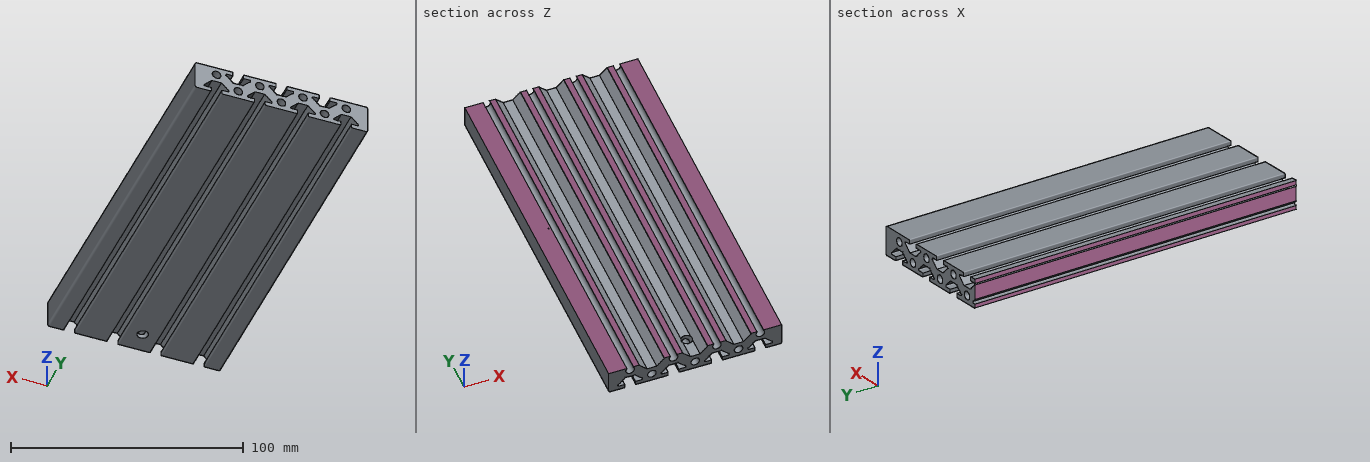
import cadquery as cq
import math

WIDTH = 80.0
LENGTH = 170.0
HEIGHT = 14.0
CORNER_RADIUS = 1.0

TOP_SLOT_COUNT = 3
BOTTOM_SLOT_COUNT = TOP_SLOT_COUNT + 1
PITCH = WIDTH / BOTTOM_SLOT_COUNT

MOUTH_WIDTH = 5.0
MOUTH_RADIUS = 0.5
LIP_THICKNESS = 2.0
CAVITY_WIDTH = 11.4
CAVITY_RADIUS = 0.5
CAVITY_SIDE_DEPTH = 2.7
SLOT_DEPTH = 6.1
FLOOR_WIDTH = 4.5

BORE_DIAMETER = 3.9
BORE_DEPTH = 3.9

MOUNT_DIAMETER = 5.0
MOUNT_END_DISTANCE = 10.0


def row_positions(count):
    """X positions of a row centred on the profile."""
    return [(i - (count - 1) / 2) * PITCH for i in range(count)]


def t_slot(x, side):
    """Full-length T-slot with sharp mouth edges; side is 1 for the top face, -1 for the bottom."""
    half_section = [
        (MOUTH_WIDTH / 2, 0),
        (MOUTH_WIDTH / 2, LIP_THICKNESS),
        (CAVITY_WIDTH / 2, LIP_THICKNESS),
        (CAVITY_WIDTH / 2, CAVITY_SIDE_DEPTH),
        (FLOOR_WIDTH / 2, SLOT_DEPTH),
    ]
    right = [(x + offset, side * (HEIGHT / 2 - depth)) for offset, depth in half_section]
    left = [(x - offset, side * (HEIGHT / 2 - depth)) for offset, depth in reversed(half_section)]
    slot = cq.Workplane("XZ").polyline(right + left).close().extrude(LENGTH / 2, both=True)
    z_lip = side * (HEIGHT / 2 - LIP_THICKNESS)
    for x_side in (x - CAVITY_WIDTH / 2, x + CAVITY_WIDTH / 2):
        slot = slot.edges(cq.NearestToPointSelector((x_side, 0, z_lip))).fillet(CAVITY_RADIUS)
    return slot


def bores(count, side):
    """Row of lengthwise bores near the top (side 1) or bottom (side -1) face."""
    z = side * (HEIGHT / 2 - BORE_DEPTH)
    centres = [(x, z) for x in row_positions(count)]
    circles = cq.Workplane("XZ").pushPoints(centres).circle(BORE_DIAMETER / 2)
    return circles.extrude(LENGTH / 2, both=True)


result = cq.Workplane("XY").box(WIDTH, LENGTH, HEIGHT).edges("|Y").fillet(CORNER_RADIUS)

slots = [(x, HEIGHT / 2) for x in row_positions(TOP_SLOT_COUNT)]
slots += [(x, -HEIGHT / 2) for x in row_positions(BOTTOM_SLOT_COUNT)]
for x, z in slots:
    result = result.cut(t_slot(x, math.copysign(1, z)))

for x, z in slots:
    for x_edge in (x - MOUTH_WIDTH / 2, x + MOUTH_WIDTH / 2):
        mouth_edge = cq.NearestToPointSelector((x_edge, 0, z))
        result = result.edges(mouth_edge).fillet(MOUTH_RADIUS)

result = result.cut(bores(BOTTOM_SLOT_COUNT, 1))
result = result.cut(bores(TOP_SLOT_COUNT, -1))

mount_hole = (
    cq.Workplane("XY")
    .center(0, MOUNT_END_DISTANCE - LENGTH / 2)
    .circle(MOUNT_DIAMETER / 2)
    .extrude(HEIGHT / 2, both=True)
)
result = result.cut(mount_hole)